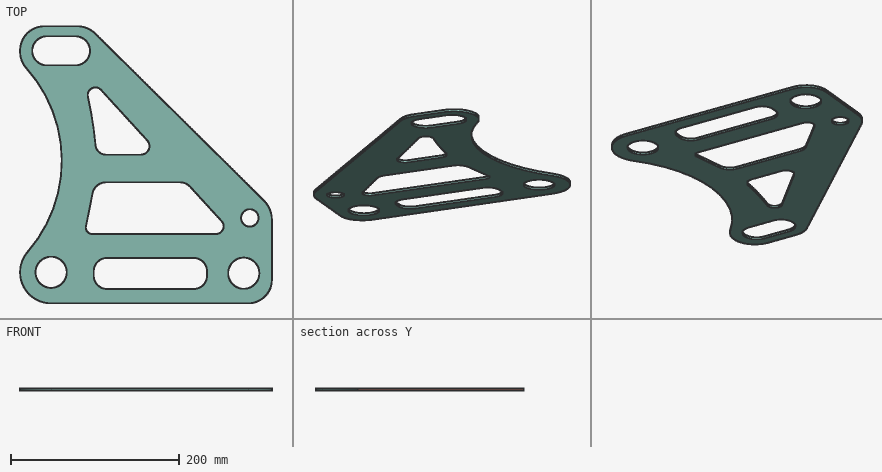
import cadquery as cq
import math

LENGTH = 300.0
HEIGHT = 330.0
THICKNESS = 3.0

LEFT_TOP_RADIUS = 29.1
LEFT_EDGE_STRAIGHT = 1.4
LEFT_BOTTOM_RADIUS = 37.1
RIGHT_BOTTOM_RADIUS = 28.5
DIAGONAL_LOWER_RADIUS = 33.5
DIAGONAL_UPPER_RADIUS = 30.0
RIGHT_EDGE_HEIGHT = 113.0
TOP_EDGE_END = 80.7
SCALLOP_RADIUS = 165.0

LARGE_HOLE = 36.9
SMALL_HOLE = 20.5
ROUND_HOLES = [
    (LEFT_BOTTOM_RADIUS, LEFT_BOTTOM_RADIUS, LARGE_HOLE),
    (266.3, 36.0, LARGE_HOLE),
    (273.5, 101.8, SMALL_HOLE),
]

SLOT_CENTER = (49.0, 300.6)
SLOT_LENGTH = 68.5
SLOT_WIDTH = 34.3

BOTTOM_WINDOW_CENTER = (155.2, 35.7)
BOTTOM_WINDOW_LENGTH = 134.5
BOTTOM_WINDOW_WIDTH = 36.6
BOTTOM_WINDOW_RADIUS = 15.5

MIDDLE_BOTTOM = 82.8
MIDDLE_TOP = 144.0
MIDDLE_WINDOW = [
    (76.9, MIDDLE_BOTTOM, 7.4),
    (253.7, MIDDLE_BOTTOM, 9.0),
    (197.7, MIDDLE_TOP, 16.2),
    (89.1, MIDDLE_TOP, 16.0),
]

UPPER_BOTTOM = 177.2
UPPER_WINDOW = [
    (91.0, UPPER_BOTTOM, 12.0),
    (166.7, UPPER_BOTTOM, 10.0),
    (71.8, 281.0, 9.0),
]
UPPER_WINDOW_BOW = 3.0


def scallop_center(lower, upper):
    """Center of the scallop circle, touching both left corner circles externally."""
    lower_reach = SCALLOP_RADIUS + LEFT_BOTTOM_RADIUS
    upper_reach = SCALLOP_RADIUS + LEFT_TOP_RADIUS
    span_x = upper[0] - lower[0]
    span_y = upper[1] - lower[1]
    span = math.hypot(span_x, span_y)
    along = (span**2 + lower_reach**2 - upper_reach**2) / (2 * span)
    aside = math.sqrt(lower_reach**2 - along**2)
    return (
        lower[0] + (along * span_x - aside * span_y) / span,
        lower[1] + (along * span_y + aside * span_x) / span,
    )


def tangent_point(center, radius, other):
    """Point of a circle that lies toward the center of another circle."""
    distance = math.dist(center, other)
    return (
        center[0] + radius * (other[0] - center[0]) / distance,
        center[1] + radius * (other[1] - center[1]) / distance,
    )


def plate_blank():
    lower = (LEFT_BOTTOM_RADIUS, LEFT_BOTTOM_RADIUS)
    top_round_end = HEIGHT - LEFT_TOP_RADIUS
    upper = (LEFT_TOP_RADIUS, top_round_end - LEFT_EDGE_STRAIGHT)
    scallop = scallop_center(lower, upper)
    scallop_apex = (scallop[0] + SCALLOP_RADIUS, scallop[1])
    blank = (
        cq.Workplane("XY")
        .moveTo(lower[0], 0)
        .lineTo(LENGTH, 0)
        .lineTo(LENGTH, RIGHT_EDGE_HEIGHT)
        .lineTo(TOP_EDGE_END, HEIGHT)
        .lineTo(upper[0], HEIGHT)
        .tangentArcPoint((0, top_round_end), relative=False)
        .lineTo(0, upper[1])
        .tangentArcPoint(tangent_point(upper, LEFT_TOP_RADIUS, scallop), relative=False)
        .threePointArc(scallop_apex, tangent_point(lower, LEFT_BOTTOM_RADIUS, scallop))
        .threePointArc((0, lower[1]), (lower[0], 0))
        .close()
        .extrude(THICKNESS)
    )
    blank = round_corner(blank, LENGTH, 0, RIGHT_BOTTOM_RADIUS)
    blank = round_corner(blank, LENGTH, RIGHT_EDGE_HEIGHT, DIAGONAL_LOWER_RADIUS)
    return round_corner(blank, TOP_EDGE_END, HEIGHT, DIAGONAL_UPPER_RADIUS)


def round_corner(body, x, y, radius):
    """Fillet the upright edge at the sharp corner (x, y)."""
    corner = cq.selectors.NearestToPointSelector((x, y, THICKNESS / 2))
    return body.edges("|Z").edges(corner).fillet(radius)


def round_corners(body, corners):
    for x, y, radius in corners:
        body = round_corner(body, x, y, radius)
    return body


def round_hole_cutter(x, y, diameter):
    return cq.Workplane("XY").center(x, y).circle(diameter / 2).extrude(THICKNESS)


def slot_cutter():
    return cq.Workplane("XY").center(*SLOT_CENTER).slot2D(SLOT_LENGTH, SLOT_WIDTH).extrude(THICKNESS)


def bottom_window_cutter():
    return (
        cq.Workplane("XY")
        .center(*BOTTOM_WINDOW_CENTER)
        .rect(BOTTOM_WINDOW_LENGTH, BOTTOM_WINDOW_WIDTH)
        .extrude(THICKNESS)
        .edges("|Z")
        .fillet(BOTTOM_WINDOW_RADIUS)
    )


def middle_window_cutter():
    outline = [(x, y) for x, y, radius in MIDDLE_WINDOW]
    window = cq.Workplane("XY").polyline(outline).close().extrude(THICKNESS)
    return round_corners(window, MIDDLE_WINDOW)


def upper_window_cutter():
    lower_left, lower_right, apex = [(x, y) for x, y, radius in UPPER_WINDOW]
    window = (
        cq.Workplane("XY")
        .polyline([lower_left, lower_right, apex])
        .sagittaArc(lower_left, UPPER_WINDOW_BOW)
        .close()
        .extrude(THICKNESS)
    )
    return round_corners(window, UPPER_WINDOW)


result = plate_blank()
for hole in ROUND_HOLES:
    result = result.cut(round_hole_cutter(*hole))
result = result.cut(slot_cutter())
result = result.cut(bottom_window_cutter())
result = result.cut(middle_window_cutter())
result = result.cut(upper_window_cutter())